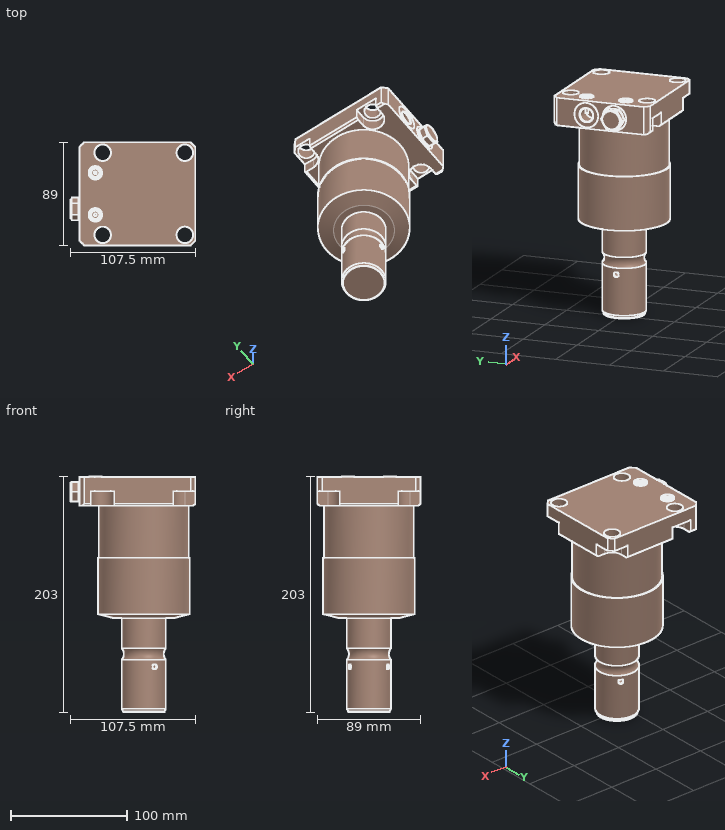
import cadquery as cq
import math


plate_width = 89.0
plate_right = plate_width / 2
plate_left = -55.5
plate_thickness = 24.8
corner_chamfer = 4.3
edge_chamfer_height = 1.6
edge_chamfer_run = 2.0

hole_offset = 35.3
hole_diameter = 14.0
pocket_radius = 10.2
pocket_ceiling = -12.2

neck_radius = 38.8
body_radius = 39.5
body_end_radius = 26.2
rod_radius = 19.0
rod_groove_radius = 17.3
rod_tip_radius = 17.9
overall_height = 203
seal_protrusion = 0.6
rod_bottom = seal_protrusion - overall_height
body_top = -69.6
body_bottom = -118.0
body_end = -121.4
groove_top = -147.4
groove_bottom = -157.1
tip_chamfer_height = 2.2
tip_land = 0.8

rod_hole_diameter = 4.5
rod_hole_depth = 1.6
rod_hole_level = -163.2
rod_hole_angles = (180, 60, -60)

port_offset = 13.0
port_level = -12.8
port_diameter = 11.8
port_chamfer = 0.6
spotface_diameter = 22.0
spotface_depth = 0.2

overall_length = 107.5
plug_head_end = plate_right - overall_length
plug_flats = 17.0
plug_land_diameter = 16.8
plug_land_length = 1.2
plug_land_chamfer = 0.5
plug_collar_length = 0.8

top_port_x = -41.6
top_port_offset = 18.0
seal_seat_radius = 5.9
seal_seat_depth = 0.8
seal_radius = 4.9
seal_section_radius = 0.8
recess_diameter = 7.0
recess_depth = 1.6
duct_diameter = 2.5
duct_depth = 14.8


def make_plate():
    """Plate with bevelled bottom edges and cut vertical corners."""
    length = plate_right - plate_left
    plate = (
        cq.Workplane("XY")
        .box(length, plate_width, plate_thickness, centered=(False, True, False))
        .translate((plate_left, 0, -plate_thickness))
    )
    bevel_edges = plate.faces("<Z").edges("|X or >X")
    plate = bevel_edges.chamfer(edge_chamfer_height, edge_chamfer_run)
    outline = (
        cq.Workplane("XY", origin=(plate_left + length / 2, 0, -plate_thickness))
        .rect(length, plate_width)
        .extrude(plate_thickness)
        .edges("|Z")
        .chamfer(corner_chamfer)
    )
    return plate.intersect(outline)


def make_head_pocket(x_hole, side):
    """Screw-head space at one hole, open to the Y side; at the +X holes it also opens to +X."""
    y_hole = side * hole_offset
    overrun = 2 * pocket_radius
    workplane = cq.Workplane("XY", origin=(x_hole, y_hole, pocket_ceiling))
    pocket = workplane.circle(pocket_radius).extrude(-plate_thickness)
    toward_y = workplane.center(0, side * overrun / 2).rect(2 * pocket_radius, overrun)
    pocket = pocket.union(toward_y.extrude(-plate_thickness))
    if x_hole > 0:
        toward_x = (
            workplane
            .center(overrun / 2, side * (overrun - pocket_radius) / 2)
            .rect(overrun, overrun + pocket_radius)
        )
        pocket = pocket.union(toward_x.extrude(-plate_thickness))
    return pocket


def make_body_and_rod():
    """Turned body and piston rod, with a rounded groove and a tapered tip on the rod."""
    groove_middle = (groove_top + groove_bottom) / 2
    tip_start = rod_bottom + tip_land + tip_chamfer_height
    return (
        cq.Workplane("XZ")
        .moveTo(0, -plate_thickness)
        .lineTo(neck_radius, -plate_thickness)
        .lineTo(neck_radius, body_top)
        .lineTo(body_radius, body_top)
        .lineTo(body_radius, body_bottom)
        .lineTo(body_end_radius, body_end)
        .lineTo(rod_radius, body_end)
        .lineTo(rod_radius, groove_top)
        .threePointArc((rod_groove_radius, groove_middle), (rod_radius, groove_bottom))
        .lineTo(rod_radius, tip_start)
        .lineTo(rod_tip_radius, rod_bottom + tip_land)
        .lineTo(rod_tip_radius, rod_bottom)
        .lineTo(0, rod_bottom)
        .close()
        .revolve(360, (0, 0, 0), (0, 1, 0))
    )


def make_rod_hole(angle):
    """Radial drilled hole with a conical bottom."""
    radius = rod_hole_diameter / 2
    outside = rod_radius + radius
    tip = rod_radius - rod_hole_depth - radius
    return (
        cq.Workplane("XZ")
        .moveTo(tip, rod_hole_level)
        .lineTo(tip + radius, rod_hole_level + radius)
        .lineTo(outside, rod_hole_level + radius)
        .lineTo(outside, rod_hole_level)
        .close()
        .revolve(360, (0, rod_hole_level, 0), (1, rod_hole_level, 0))
        .rotate((0, 0, 0), (0, 0, 1), angle)
    )


def side_plane(x, y):
    """Workplane facing -X at the level of the side ports."""
    return cq.Workplane(cq.Plane((x, y, port_level), xDir=(0, -1, 0), normal=(-1, 0, 0)))


def make_spotface(y):
    return side_plane(plate_left, y).circle(spotface_diameter / 2).extrude(-spotface_depth)


def make_side_port(y):
    """Chamfered blind bore that ends at the axis of the duct from the top port."""
    floor_x = plate_left + spotface_depth
    bore = side_plane(floor_x, y).circle(port_diameter / 2).extrude(floor_x - top_port_x)
    mouth_radius = port_diameter / 2 + port_chamfer
    mouth = side_plane(floor_x, y).circle(mouth_radius).extrude(-port_chamfer, taper=45)
    return bore.union(mouth)


def make_screw_plug(y):
    """Hexagonal head between a round collar and a chamfered round end."""
    collar_start = plate_left + spotface_depth
    hexagon_start = plate_left - plug_collar_length
    hexagon_end = plug_head_end + plug_land_length
    core = (
        side_plane(collar_start, y)
        .circle(plug_land_diameter / 2)
        .extrude(collar_start - plug_head_end)
        .faces("<X")
        .chamfer(plug_land_chamfer)
    )
    corner_diameter = plug_flats / math.cos(math.pi / 6)
    hexagon = side_plane(hexagon_start, y).polygon(6, corner_diameter)
    return core.union(hexagon.extrude(hexagon_start - hexagon_end))


def make_top_port(y):
    """Seal seat, inner recess and narrow duct leading down past the side port axis."""
    workplane = cq.Workplane("XY", origin=(top_port_x, y, 0))
    seat = workplane.circle(seal_seat_radius).extrude(-seal_seat_depth)
    recess = workplane.circle(recess_diameter / 2).extrude(-recess_depth)
    duct = workplane.circle(duct_diameter / 2).extrude(-duct_depth)
    return seat.union(recess).union(duct)


def make_seal(y):
    """O-ring pressed into its seat and standing slightly above the plate."""
    center = cq.Vector(top_port_x, y, seal_protrusion - seal_section_radius)
    return cq.Workplane(cq.Solid.makeTorus(seal_radius, seal_section_radius, center))


plate = make_plate()
for side in (1, -1):
    for x_hole in (hole_offset, -hole_offset):
        plate = plate.cut(make_head_pocket(x_hole, side))
        screw_hole = cq.Workplane("XY").center(x_hole, side * hole_offset).circle(hole_diameter / 2)
        plate = plate.cut(screw_hole.extrude(-plate_thickness))
    plate = plate.cut(make_spotface(side * port_offset))

result = plate.union(make_body_and_rod())
for angle in rod_hole_angles:
    result = result.cut(make_rod_hole(angle))

result = result.cut(make_side_port(port_offset))
result = result.union(make_screw_plug(-port_offset))
for side in (1, -1):
    result = result.cut(make_top_port(side * top_port_offset))
    result = result.union(make_seal(side * top_port_offset))